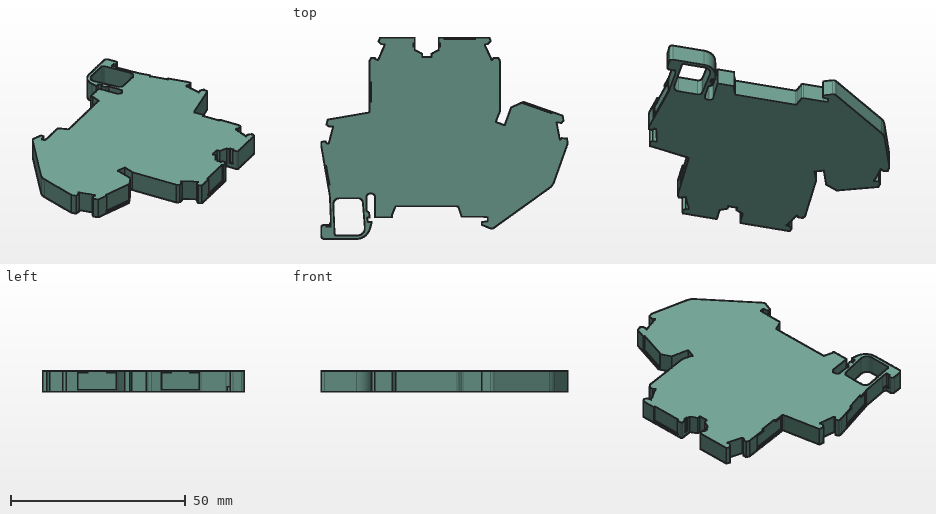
import cadquery as cq
import math

LENGTH = 70.6
HEIGHT = 57.7
THICKNESS = 6.0

TOWER_LEFT = 13.83
TOWER_RIGHT = 51.25
SHOULDER_Y = 51.9
RAIL_SEAT_Y = 9.35
RAIL_EDGE_Y = 6.35
RAIL_RELIEF_Y = 6.2
TOP_SLOT_LEFT = 26.84
TOP_SLOT_RIGHT = 33.62
TOP_SLOT_FLOOR = 52.13
FOOT_TOP = 4.07
LEG_LEFT = 2.74
LEG_RIGHT = 13.0
SLIT_RIGHT = 15.4
SLIT_TOP = 13.0

LABEL_DEPTH = 0.45
OPEN_LABEL_LENGTH = 8.9
TOWER_LABEL_CENTER = (TOWER_LEFT, 42.1)
LOWER_LABEL_CENTER = (1.48, 18.25)
LOWER_WALL_ANGLE = 100
TOP_LABEL_CENTER = (39.7, HEIGHT)
SLOPE_LABEL_CENTER = (61.9, 37.9)
SLOPE_ANGLE = -19.35
LABEL_FLOOR_Z = 0.6
LABEL_ROOF_Z = 5.5
LABEL_LENGTH = 11.0
LABEL_NOTCH_LENGTH = 5.4

NICK_DEPTH = 0.48
NICK_BOTTOM_Y = 55.0
NICK_TOP_Y = 56.1
NICK_FLOOR_Z = 1.4
GROOVE_LEFT = 1.45
GROOVE_BOTTOM_Y = 3.5
GROOVE_FLOOR_Z = 1.4
GUSSET_HEIGHT = 0.85
GUSSET_REACH = 0.35

TOP_EDGE = [
    (16.84, HEIGHT, 0),
    (TOP_SLOT_LEFT, HEIGHT, 0.3),
    (TOP_SLOT_LEFT, 54.12, 0),
    (28.94, 53.06, 0),
    (28.94, TOP_SLOT_FLOOR, 0),
    (31.52, TOP_SLOT_FLOOR, 0),
    (31.52, 53.06, 0),
    (TOP_SLOT_RIGHT, 54.12, 0),
    (TOP_SLOT_RIGHT, HEIGHT, 0.3),
    (48.15, HEIGHT, 0),
]
RIGHT_SIDE = [
    (48.56, 56.65, 0),
    (47.65, 55.77, 0),
    (46.8, 55.7, 0),
    (48.85, 51.25, 0),
    (49.36, SHOULDER_Y, 0),
    (50.7, SHOULDER_Y, 0),
    (TOWER_RIGHT, 50.95, 0),
    (TOWER_RIGHT, 36.7, 0),
    (50.0, 33.56, 0),
    (52.5, 32.6, 0),
    (54.34, 37.7, 0),
    (57.9, 39.3, 0.6),
    (69.15, 35.35, 0),
    (69.39, 33.9, 0),
    (68.75, 33.2, 0),
    (67.4, 33.4, 0),
    (68.35, 28.4, 0),
    (68.9, 28.95, 0),
    (70.4, 28.8, 0),
    (LENGTH, 27.4, 0),
]
BOTTOM_EDGE = [
    (66.3, 15.3, 3.9),
    (48.95, 2.85, 1.1),
    (45.96, 4.05, 0),
    (45.96, 4.9, 0),
    (47.65, 5.15, 0),
    (47.65, RAIL_RELIEF_Y, 0),
    (46.4, RAIL_EDGE_Y, 0),
    (40.2, RAIL_EDGE_Y, 0.5),
    (39.2, RAIL_SEAT_Y, 0.5),
    (21.3, RAIL_SEAT_Y, 0),
    (20.3, 6.9, 0),
    (20.3, RAIL_RELIEF_Y, 0),
    (SLIT_RIGHT, RAIL_RELIEF_Y, 0),
    (SLIT_RIGHT, SLIT_TOP, 1.0),
    (LEG_RIGHT, SLIT_TOP, 1.0),
    (LEG_RIGHT, 8.15, 0),
    (13.75, 7.5, 0.4),
    (13.95, 6.2, 0),
    (13.15, 6.1, 0),
    (13.4, 4.92, 0),
    (14.52, 4.92, 0),
    (13.2, 0, 4.2),
    (0, 0, 0.9),
]
LEFT_SIDE = [
    (0, FOOT_TOP, 0.8),
    (LEG_LEFT, FOOT_TOP, 0),
    (LEG_LEFT, 5.3, 0),
    (2.44, 12.5, 0),
    (0, 26.65, 0),
    (0, 27.85, 0.3),
    (1.2, 28.05, 0),
    (1.65, 27.4, 0),
    (2.15, 27.4, 0),
    (3.4, 32.2, 0),
    (2.3, 32.15, 0),
    (1.49, 32.75, 0),
    (1.85, 34.23, 0),
    (TOWER_LEFT, 36.3, 0.3),
    (TOWER_LEFT, 51.0, 0),
    (14.3, SHOULDER_Y, 0),
    (15.4, SHOULDER_Y, 0),
    (15.45, 51.55, 0),
    (16.3, 51.3, 0),
    (18.2, 55.72, 0),
    (17.2, 55.75, 0),
    (16.38, 56.6, 0),
]
FOOT_WINDOW = [
    (3.45, 11.65, 1.6),
    (11.8, 11.65, 1.2),
    (12.65, 1.06, 2.1),
    (3.9, 1.06, 0.5),
]


def rounded_polygon(corners):
    """Closed wire through the corners, each rounded by its own radius."""
    wire = None
    count = len(corners)
    for i, (x, y, radius) in enumerate(corners):
        corner = cq.Vector(x, y)
        back = (cq.Vector(*corners[i - 1][:2]) - corner).normalized()
        ahead = (cq.Vector(*corners[(i + 1) % count][:2]) - corner).normalized()
        half_angle = back.getAngle(ahead) / 2
        setback = radius / math.tan(half_angle)
        start = corner + back * setback
        if wire is None:
            wire = cq.Workplane("XY").moveTo(start.x, start.y)
        else:
            wire = wire.lineTo(start.x, start.y)
        if radius > 0:
            bisector = (back + ahead).normalized()
            middle = corner + bisector * (radius / math.sin(half_angle) - radius)
            end = corner + ahead * setback
            wire = wire.threePointArc((middle.x, middle.y), (end.x, end.y))
    return wire.close()


def block(x_min, x_max, y_min, y_max, z_min, z_max):
    """Axis-aligned box between two corners."""
    size = (x_max - x_min, y_max - y_min, z_max - z_min)
    return cq.Workplane("XY").box(*size, centered=False).translate((x_min, y_min, z_min))


def wall_recess(center, wall_angle, length, z_min, z_max):
    """Cutter sunk LABEL_DEPTH into a wall that runs at wall_angle through center."""
    cutter = cq.Workplane("XY").box(length, 2 * LABEL_DEPTH, z_max - z_min, centered=(True, True, False))
    cutter = cutter.rotate((0, 0, 0), (0, 0, 1), wall_angle)
    return cutter.translate((center[0], center[1], z_min))


def notched_label(center, wall_angle):
    """Label recess with a shorter finger notch open to the upper face."""
    recess = wall_recess(center, wall_angle, LABEL_LENGTH, LABEL_FLOOR_Z, LABEL_ROOF_Z)
    notch = wall_recess(center, wall_angle, LABEL_NOTCH_LENGTH, LABEL_FLOOR_Z, THICKNESS)
    return recess.union(notch)


def open_label(center, wall_angle):
    """Label recess open to the upper face over its whole length."""
    return wall_recess(center, wall_angle, OPEN_LABEL_LENGTH, LABEL_FLOOR_Z, THICKNESS)


def foot_groove(body):
    """Groove in the top of the foot, with a low gusset against the leg."""
    groove = block(GROOVE_LEFT, LEG_LEFT, GROOVE_BOTTOM_Y, FOOT_TOP, GROOVE_FLOOR_Z, THICKNESS)
    gusset = (
        cq.Workplane("XY")
        .moveTo(LEG_LEFT, FOOT_TOP)
        .lineTo(LEG_LEFT, FOOT_TOP + GUSSET_HEIGHT)
        .lineTo(LEG_LEFT - GUSSET_REACH, FOOT_TOP)
        .close()
        .extrude(GROOVE_FLOOR_Z)
    )
    return body.cut(groove).union(gusset)


body = rounded_polygon(TOP_EDGE + RIGHT_SIDE + BOTTOM_EDGE + LEFT_SIDE).extrude(THICKNESS)
body = body.cut(rounded_polygon(FOOT_WINDOW).extrude(THICKNESS))

body = body.cut(notched_label(TOWER_LABEL_CENTER, 90))
body = body.cut(notched_label(LOWER_LABEL_CENTER, LOWER_WALL_ANGLE))
body = body.cut(open_label(TOP_LABEL_CENTER, 0))
body = body.cut(open_label(SLOPE_LABEL_CENTER, SLOPE_ANGLE))

for wall_x in (TOP_SLOT_LEFT, TOP_SLOT_RIGHT):
    body = body.cut(
        block(wall_x - NICK_DEPTH, wall_x + NICK_DEPTH, NICK_BOTTOM_Y, NICK_TOP_Y, NICK_FLOOR_Z, THICKNESS)
    )

result = foot_groove(body)